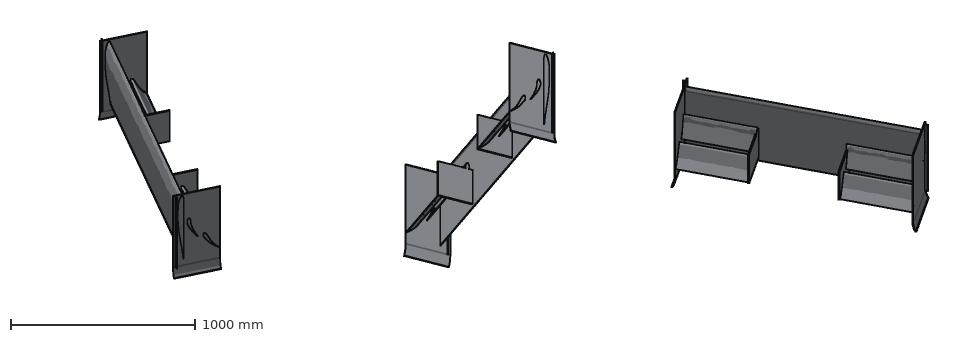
import cadquery as cq
import math

span = 1374.0
depth = 268.0
height = 581.0
half_span = span / 2

plate_thickness = 5.0
plate_inset = 18.0
skirt_height = 69.0
skirt_flare = plate_inset
rib_front = 11.0
rib_sweep = 4.0
rib_rear = 18.0
rib_lip_width = 5.0
rib_top = 577.0
plate_outer_x = half_span - plate_inset

support_x = 250.0
support_thickness = 8.0
support_front = 58.0
support_bottom = 137.0
support_top = 357.0


def box_between(x_range, y_range, z_range):
    """Box given by its limits along each axis."""
    size = [high - low for low, high in (x_range, y_range, z_range)]
    corner = (x_range[0], y_range[0], z_range[0])
    return cq.Workplane("XY").box(*size, centered=False).translate(corner)


def airfoil(front_tail, front_points, nose, rear_points, rear_tail, x_start, x_end):
    """Wing section in (Y, Z), closed by a thin trailing edge, extruded along X."""
    return (
        cq.Workplane("YZ", origin=(x_start, 0, 0))
        .moveTo(*front_tail)
        .spline(front_points + [nose] + rear_points + [rear_tail], includeCurrent=True)
        .close()
        .extrude(x_end - x_start)
    )


def main_wing():
    """Full-span wing with a flat rear face and a bulged front face."""
    rear_y = 62.0
    trailing_z = 111.0
    trailing_thickness = 3.0
    front_points = [(50.0, 199.0), (37.0, 287.0), (29.0, 385.0), (29.0, 484.0), (38.0, 544.0)]
    nose = (51.0, 569.0)
    flat_top_z = 544.0
    return (
        cq.Workplane("YZ", origin=(-plate_outer_x, 0, 0))
        .moveTo(rear_y - trailing_thickness, trailing_z)
        .spline(front_points + [nose, (rear_y, flat_top_z)], includeCurrent=True)
        .lineTo(rear_y, trailing_z)
        .close()
        .extrude(2 * plate_outer_x)
    )


def upper_flap():
    """Smaller flap just behind the main wing."""
    return airfoil(
        (140.0, 251.0), [(117.0, 287.0), (98.0, 319.0), (82.0, 360.0), (82.0, 380.0)], (92.0, 395.0),
        [(99.0, 388.0), (103.0, 360.0), (115.0, 309.0)], (143.0, 253.0), support_x, plate_outer_x,
    )


def lower_flap():
    """Lower flap reaching the rear edge of the end plates."""
    return airfoil(
        (264.0, 139.0), [(247.0, 153.0), (225.0, 172.0), (202.0, 198.0), (184.0, 225.0), (173.0, 254.0)], (179.0, 267.0),
        [(190.0, 257.0), (205.0, 227.0), (218.0, 198.0), (235.0, 172.0), (251.0, 154.0)], (265.0, 142.0),
        support_x, plate_outer_x,
    )


def end_plate():
    """Flat plate whose skirt is an arc tangent to it, curling outward to full span."""
    inner_x = plate_outer_x - plate_thickness
    outer_radius = (skirt_height**2 + skirt_flare**2) / (2 * skirt_flare)
    inner_radius = outer_radius + plate_thickness
    center_x = plate_outer_x + outer_radius
    outer_angle = math.asin(skirt_height / outer_radius)
    inner_angle = math.asin(skirt_height / inner_radius)

    def skirt_point(radius, angle):
        return center_x - radius * math.cos(angle), skirt_height - radius * math.sin(angle)

    return (
        cq.Workplane("XZ")
        .moveTo(inner_x, height)
        .lineTo(inner_x, skirt_height)
        .threePointArc(skirt_point(inner_radius, inner_angle / 2), skirt_point(inner_radius, inner_angle))
        .lineTo(*skirt_point(outer_radius, outer_angle))
        .threePointArc(skirt_point(outer_radius, outer_angle / 2), (plate_outer_x, skirt_height))
        .lineTo(plate_outer_x, height)
        .close()
        .extrude(-depth)
    )


def plate_rib():
    """Thin upright rib near the front of an end plate, its front face sloping back to a flat lip."""
    return (
        cq.Workplane("XY", origin=(0, 0, skirt_height))
        .moveTo(plate_outer_x, rib_front)
        .lineTo(half_span - rib_lip_width, rib_front + rib_sweep)
        .lineTo(half_span, rib_front + rib_sweep)
        .lineTo(half_span, rib_rear)
        .lineTo(plate_outer_x, rib_rear)
        .close()
        .extrude(rib_top - skirt_height)
    )


def support_plate():
    """Upright plate carrying the inner ends of the flaps."""
    return box_between(
        (support_x, support_x + support_thickness), (support_front, depth), (support_bottom, support_top)
    )


result = main_wing()
for side_part in (end_plate(), plate_rib(), support_plate(), upper_flap(), lower_flap()):
    result = result.union(side_part).union(side_part.mirror("YZ"))